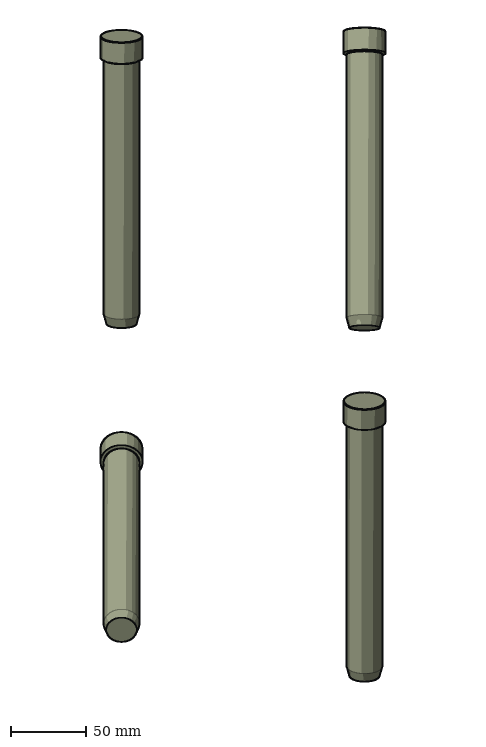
import cadquery as cq
import math

total_length = 200.0
shank_diameter = 24.0

head_diameter = 28.0
head_height = 15.0
head_chamfer = 0.5

groove_depth = 0.5

tip_half_angle = 15.0
tip_length = 7.0

shank_radius = shank_diameter / 2
head_radius = head_diameter / 2
tip_radius = shank_radius - tip_length * math.tan(math.radians(tip_half_angle))
head_underside = total_length - head_height
groove_radius = shank_radius - groove_depth
groove_root = head_underside - groove_depth
groove_bottom = groove_root - groove_depth

half_section = (
    cq.Workplane("XZ")
    .moveTo(0, 0)
    .lineTo(tip_radius, 0)
    .lineTo(shank_radius, tip_length)
    .lineTo(shank_radius, groove_bottom)
    .lineTo(groove_radius, groove_root)
    .radiusArc((shank_radius, head_underside), groove_depth)
    .lineTo(head_radius, head_underside)
    .lineTo(head_radius, total_length - head_chamfer)
    .lineTo(head_radius - head_chamfer, total_length)
    .lineTo(0, total_length)
    .close()
)

result = half_section.revolve(360, (0, 0, 0), (0, 1, 0))